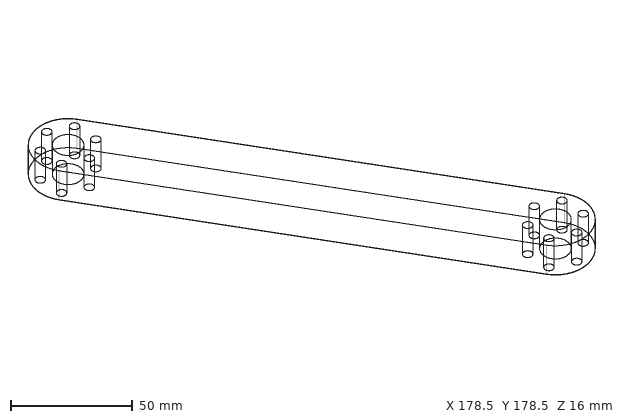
import cadquery as cq
import math

overall_span = 178.5
thickness = 16.0
end_radius = 16.5
bore_diameter = 13.0
bolt_diameter = 4.3
bolt_circle_radius = 12.0
bolt_count = 6
arm_angle = 45.0

pivot_offset = overall_span / 2 - end_radius
pivot_spacing = 2 * pivot_offset * math.sqrt(2)
arm_length = pivot_spacing + 2 * end_radius
first_bolt_angle = 360 / bolt_count / 2


def arm_blank():
    """Flat bar with full-round ends, long axis along X."""
    return cq.Workplane("XY").slot2D(arm_length, 2 * end_radius).extrude(thickness)


def pivot_holes(pivot_x):
    """Through bore and its ring of bolt holes around one pivot."""
    base = cq.Workplane("XY").center(pivot_x, 0)
    bore = base.circle(bore_diameter / 2).extrude(thickness)
    bolts = (
        base.polarArray(bolt_circle_radius, first_bolt_angle, 360, bolt_count)
        .circle(bolt_diameter / 2)
        .extrude(thickness)
    )
    return bore.union(bolts)


arm = arm_blank()
for side in (-1, 1):
    arm = arm.cut(pivot_holes(side * pivot_spacing / 2))

result = arm.rotate((0, 0, 0), (0, 0, 1), arm_angle)